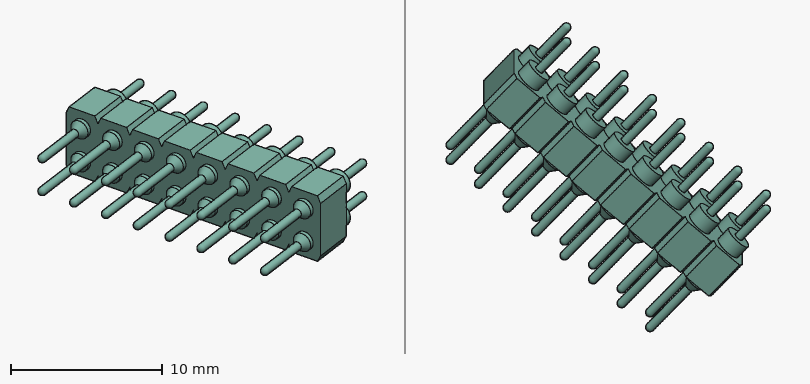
import cadquery as cq

columns = 8
rows = 2
body_length = 20.32
pitch = body_length / columns
body_height = rows * pitch
body_depth = 3.0

notch_half_width = 0.25
notch_depth = 0.5

rod_radius = 0.3
back_rod_length = 2.99
front_rod_length = 4.1

collar_diameter = 1.79
collar_radius = collar_diameter / 2
collar_length = 1.04
shoulder_diameter = 1.36
shoulder_radius = shoulder_diameter / 2
shoulder_length = 0.3
cone_length = 0.53

front_face = -body_depth / 2
back_face = body_depth / 2


def make_body():
    """Insulator block with V-notches at every column boundary."""
    body = cq.Workplane("XY").box(body_length, body_depth, body_height)
    for boundary in range(columns + 1):
        x = boundary * pitch - body_length / 2
        for side in (-1, 1):
            edge_z = side * body_height / 2
            notch = (
                cq.Workplane("XZ", origin=(0, back_face, 0))
                .moveTo(x - notch_half_width, edge_z)
                .lineTo(x + notch_half_width, edge_z)
                .lineTo(x, edge_z - side * notch_depth)
                .close()
                .extrude(body_depth)
            )
            body = body.cut(notch)
    return body


def make_pin():
    """Turned pin on the Y axis with a back collar, a front cone and hemispherical tips."""
    shoulder_end = front_face - shoulder_length
    cone_end = shoulder_end - cone_length
    front_tip = cone_end - front_rod_length
    collar_end = back_face + collar_length
    back_tip = collar_end + back_rod_length

    front_tip_centre = front_tip + rod_radius
    back_tip_centre = back_tip - rod_radius
    half_profile = (
        cq.Workplane("XY")
        .moveTo(0, front_tip)
        .radiusArc((rod_radius, front_tip_centre), -rod_radius)
        .lineTo(rod_radius, cone_end)
        .lineTo(shoulder_radius, shoulder_end)
        .lineTo(shoulder_radius, back_face)
        .lineTo(collar_radius, back_face)
        .lineTo(collar_radius, collar_end)
        .lineTo(rod_radius, collar_end)
        .lineTo(rod_radius, back_tip_centre)
        .radiusArc((0, back_tip), -rod_radius)
        .close()
    )
    return half_profile.revolve(360, (0, 0, 0), (0, 1, 0))


def place_pins(pin):
    """One pin at the centre of every pitch cell."""
    placed = []
    for column in range(columns):
        x = (column + 0.5) * pitch - body_length / 2
        for row in range(rows):
            z = (row + 0.5) * pitch - body_height / 2
            placed.append(pin.translate((x, 0, z)))
    return placed


result = make_body()
for placed_pin in place_pins(make_pin()):
    result = result.union(placed_pin)